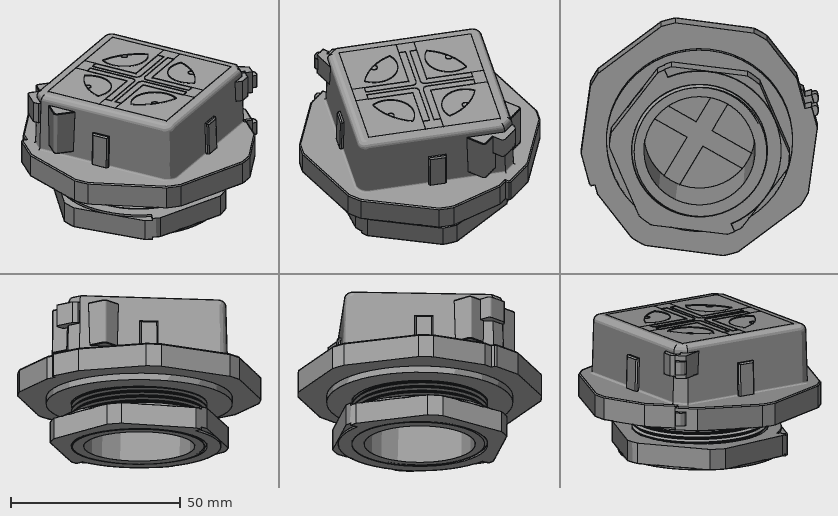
import cadquery as cq
import math

nut_height = 6.9
gasket_bottom = 12.95
flange_bottom = 14.9
flange_top = 21.9
pocket_floor = flange_top
cap_top = 39.7

cap_base_half = 23.75
cap_corner_radius = 3.2
cap_corner_flat = 3.2
cap_draft = 1.6
cap_top_round = 1.95
cap_base_round = 0.6

flange_radius = 36
flange_apothem = 34.05
flange_edge_chamfer = 0.35
hinge_step_x = 1.0
latch_step_x = -5.5
rim_left_back = 34.5
rim_right_back = 32.5
rim_left_front = -33.4
rim_right_front = -34.9

thread_radius = 20.0
thread_root_radius = 19.15
thread_pitch = 1.5
thread_crest = 0.2
thread_root_width = 1.4
thread_overlap = 0.1
thread_clearance = 0.1
thread_phase = -0.65
mating_bore_radius = thread_radius + thread_clearance
bore_radius = 16.4
gasket_radius = 27.5
nut_corner_radius = 26.65
nut_apothem = 24.1
nut_turn = -8
nut_step = 0.65

insert_side = 39.9
cross_width = 5.4
grommet_side = (insert_side - cross_width) / 2
grommet_offset = (cross_width + grommet_side) / 2
grommet_circle_radius = 7.05
grommet_boss_radius = 1.0
recess_depth = 0.3
grommet_boss_height = 0.15
cross_recess_depth = 0.15
cross_rib_width = 1.3
cross_rib_fillet = 1.45

rib_width = 5.4
rib_top = 31.9
rib_height_out = 1.0
rib_chamfer = 0.4
catch_half_width = 10.15
catch_front = -29.15
catch_bottom = 23.9
catch_round = 1.0
catch_chamfer = 0.2
latch_bottom = 30.75
latch_top = 37.1
latch_left = -5.6
latch_right = 2.0
latch_front = -32.9
latch_corner_round = 1.0
latch_corner_cut = 1.15
hinge_bottom = 30.7
hinge_top = 37.6
knob_height = 3.95
hinge_root_y = 25.9
left_lug_root_x = -5.8
left_lug_tip_x = -2.15
right_lug_top = 37.1
right_lug_width = 5.1
right_lug_cut = 2.2
knob_left = -2.3
knob_right = 0.8
knob_tip = 36.1
knob_nose_round = 0.7
knob_bottoms = [16.5, 32.1]

turn_45 = ((0, 0, 0), (0, 0, 1), 45)


def box_between(low, high):
    """Box from its lowest corner to its highest corner."""
    size = [b - a for a, b in zip(low, high)]
    return cq.Workplane("XY").box(*size, centered=False).translate(low)


def prism(points, bottom, top):
    """Vertical prism over a closed polygon."""
    return cq.Workplane("XY").workplane(offset=bottom).polyline(points).close().extrude(top - bottom)


def disc(radius, bottom, top):
    return cq.Workplane("XY").workplane(offset=bottom).circle(radius).extrude(top - bottom)


def rounded_polygon(sides, apothem, corner_radius, turn, bottom, top):
    """Regular prism whose corners are trimmed by a cylinder; turn points at a corner."""
    across_corners = 2 * apothem / math.cos(math.pi / sides)
    body = cq.Workplane("XY").workplane(offset=bottom).polygon(sides, across_corners).extrude(top - bottom)
    return body.rotate((0, 0, 0), (0, 0, 1), turn).intersect(disc(corner_radius, bottom, top))


def make_cap():
    """Drafted square block; its round corners end up on X and its flat corners on Y."""
    body = (
        cq.Workplane("XY")
        .rect(2 * cap_base_half, 2 * cap_base_half)
        .extrude(cap_top - flange_top)
    )
    flat_corners = body.edges("|Z").edges("<(1, 1, 0) or >(1, 1, 0)")
    body = flat_corners.chamfer(cap_corner_flat)
    round_corners = body.edges("|Z").edges("<(1, -1, 0) or >(1, -1, 0)")
    outline = round_corners.fillet(cap_corner_radius).faces("<Z").wires().val()
    drafted = (
        cq.Workplane("XY")
        .add(outline)
        .toPending()
        .extrude(cap_top - flange_top, taper=cap_draft)
    )
    drafted = drafted.faces(">Z").edges().fillet(cap_top_round)
    return drafted.rotate(*turn_45).translate((0, 0, flange_top))


def make_flange():
    """Octagon trimmed by flat rims front and back, each with a step."""
    body = rounded_polygon(8, flange_apothem, flange_radius, 0, flange_bottom, flange_top)
    rim = prism(
        [
            (-flange_radius, rim_left_back),
            (hinge_step_x, rim_left_back),
            (hinge_step_x, rim_right_back),
            (flange_radius, rim_right_back),
            (flange_radius, rim_right_front),
            (latch_step_x, rim_right_front),
            (latch_step_x, rim_left_front),
            (-flange_radius, rim_left_front),
        ],
        flange_bottom,
        flange_top,
    )
    return body.intersect(rim).faces(">Z").edges().chamfer(flange_edge_chamfer)


def make_wall_rib():
    """Low rib up the middle of one side wall; follows the draft of the wall."""
    rise = rib_top - flange_top
    lean = rise * math.tan(math.radians(cap_draft))
    outer = cap_base_half + rib_height_out
    inner = cap_base_half - 2 * rib_height_out
    profile = [(inner, flange_top), (outer, flange_top), (outer - lean, rib_top), (inner, rib_top)]
    rib = cq.Workplane("XZ").polyline(profile).close().extrude(rib_width / 2, both=True)
    return rib.faces(">X").edges("not <Z").chamfer(rib_chamfer)


def make_catch():
    """Block across the front corner of the cap that the latch hooks over."""
    block = box_between(
        (-catch_half_width, catch_front, catch_bottom),
        (catch_half_width, catch_front + catch_half_width, latch_top),
    )
    block = block.edges("|Z and <Y").fillet(catch_round)
    return block.faces("|Z").edges("<Y").chamfer(catch_chamfer)


def make_latch():
    latch = prism(
        [
            (latch_left, -cap_base_half),
            (latch_left, latch_front),
            (latch_right - latch_corner_cut, latch_front),
            (latch_right, latch_front + latch_corner_cut),
            (latch_right, -cap_base_half),
        ],
        latch_bottom,
        latch_top,
    )
    return latch.edges("|Z").edges("<(1, 1, 0)").fillet(latch_corner_round)


def make_hinge():
    """Two hinge lugs side by side at the back corner; the right one is lower and shorter."""
    left_lug = prism(
        [
            (left_lug_root_x, hinge_root_y),
            (left_lug_tip_x, rim_left_back),
            (hinge_step_x, rim_left_back),
            (hinge_step_x, rim_right_back),
            (0, rim_right_back),
            (0, hinge_root_y),
        ],
        hinge_bottom,
        hinge_top,
    )
    right_lug = prism(
        [
            (0, hinge_root_y),
            (0, rim_right_back),
            (right_lug_width - right_lug_cut, rim_right_back),
            (right_lug_width, rim_right_back - right_lug_cut),
            (right_lug_width, hinge_root_y),
        ],
        hinge_bottom,
        right_lug_top,
    )
    return left_lug.union(right_lug)


def make_knob(bottom):
    """Knob with a rounded nose on the back rim."""
    return (
        cq.Workplane("XY")
        .workplane(offset=bottom)
        .moveTo(knob_right, rim_right_back)
        .lineTo(knob_right, knob_tip - knob_nose_round)
        .radiusArc((knob_right - knob_nose_round, knob_tip), -knob_nose_round)
        .lineTo(knob_right - 2 * knob_nose_round, knob_tip)
        .tangentArcPoint((knob_left, rim_left_back), relative=False)
        .lineTo(left_lug_tip_x, rim_right_back)
        .close()
        .extrude(knob_height)
    )


def make_stem():
    """Stem with a right-hand thread."""
    start = thread_phase - thread_pitch
    length = flange_bottom + 2 * thread_pitch
    root = thread_root_radius - thread_overlap
    helix = cq.Wire.makeHelix(thread_pitch, length, thread_root_radius).translate((0, 0, start))
    half_root = thread_root_width / 2
    ridge = (
        cq.Workplane("XZ")
        .polyline([
            (root, start - half_root),
            (thread_radius, start - thread_crest / 2),
            (thread_radius, start + thread_crest / 2),
            (root, start + half_root),
        ])
        .close()
        .sweep(cq.Workplane("XY").add(helix), isFrenet=True)
    )
    ridge = ridge.intersect(disc(flange_radius, 0, flange_bottom))
    return disc(thread_root_radius, 0, flange_bottom).union(ridge)


def make_frame():
    """Cap, flange and stem in one, with a square pocket over a round bore."""
    frame = make_flange().union(make_cap())
    deck = frame.faces("|Z").faces(cq.selectors.NearestToPointSelector((0, 0, flange_top))).val()
    frame = frame.newObject([frame.val().fillet(cap_base_round, deck.innerWires()[0].Edges())])
    for quarter in range(4):
        frame = frame.union(make_wall_rib().rotate((0, 0, 0), (0, 0, 1), 45 + 90 * quarter))
    frame = frame.union(make_catch()).union(make_latch()).union(make_hinge())
    for bottom in knob_bottoms:
        frame = frame.union(make_knob(bottom))
    frame = frame.union(make_stem())
    pocket = cq.Workplane("XY").rect(insert_side, insert_side).extrude(cap_top - pocket_floor)
    frame = frame.cut(pocket.rotate(*turn_45).translate((0, 0, pocket_floor)))
    return frame.cut(disc(bore_radius, 0, cap_top))


def make_gasket():
    ring = disc(gasket_radius, gasket_bottom, flange_bottom)
    return ring.cut(disc(mating_bore_radius, gasket_bottom, flange_bottom))


def make_nut():
    """Hexagon nut on a washer face; one half of the hexagon sits higher than the other."""
    hexagon = rounded_polygon(6, nut_apothem, nut_corner_radius, 0, 0, nut_height - nut_step)
    reach = 2 * nut_corner_radius
    back_half = box_between((-reach, 0, 0), (reach, reach, nut_height))
    nut = disc(nut_apothem, 0, nut_height)
    nut = nut.union(hexagon.intersect(back_half).translate((0, 0, nut_step)))
    nut = nut.union(hexagon.cut(back_half))
    return nut.rotate((0, 0, 0), (0, 0, 1), nut_turn).cut(disc(mating_bore_radius, 0, nut_height))


def make_grommet():
    """Square plug in the +X +Y quarter; its face is sunk where its circle meets the bore."""
    plug = cq.Workplane("XY").rect(grommet_side, grommet_side).extrude(cap_top - pocket_floor)
    plug = plug.translate((grommet_offset, grommet_offset, pocket_floor))
    floor = cap_top - recess_depth
    place = (grommet_offset, grommet_offset, 0)
    recess = disc(grommet_circle_radius, floor, cap_top).translate(place)
    recess = recess.cut(disc(grommet_boss_radius, floor, floor + grommet_boss_height).translate(place))
    return plug.cut(recess.intersect(disc(bore_radius, floor, cap_top)))


def make_cross():
    """Divider between the grommets, sunk over the bore except for a thin cross rib."""
    height = cap_top - pocket_floor
    bars = cq.Workplane("XY").rect(insert_side, cross_width).extrude(height)
    bars = bars.union(cq.Workplane("XY").rect(cross_width, insert_side).extrude(height))
    sunk_length = 2 * math.sqrt(bore_radius ** 2 - (cross_width / 2) ** 2)
    sunk = cq.Workplane("XY").rect(sunk_length, cross_width).extrude(cross_recess_depth)
    sunk = sunk.union(cq.Workplane("XY").rect(cross_width, sunk_length).extrude(cross_recess_depth))
    rib = cq.Workplane("XY").rect(insert_side, cross_rib_width).extrude(cross_recess_depth)
    rib = rib.union(cq.Workplane("XY").rect(cross_rib_width, insert_side).extrude(cross_recess_depth))
    reach = cross_rib_width
    middle = cq.selectors.BoxSelector((-reach, -reach, 0), (reach, reach, cross_recess_depth))
    rib = rib.edges("|Z").edges(middle).fillet(cross_rib_fillet)
    bars = bars.cut(sunk.cut(rib).translate((0, 0, height - cross_recess_depth)))
    return bars.rotate(*turn_45).translate((0, 0, pocket_floor))


frame = make_frame()
gasket = make_gasket()
nut = make_nut()
cross = make_cross()
grommets = [make_grommet().rotate((0, 0, 0), (0, 0, 1), 45 + 90 * quarter) for quarter in range(4)]

result = cq.Compound.makeCompound(
    [frame.val(), gasket.val(), nut.val(), cross.val()] + [grommet.val() for grommet in grommets]
)